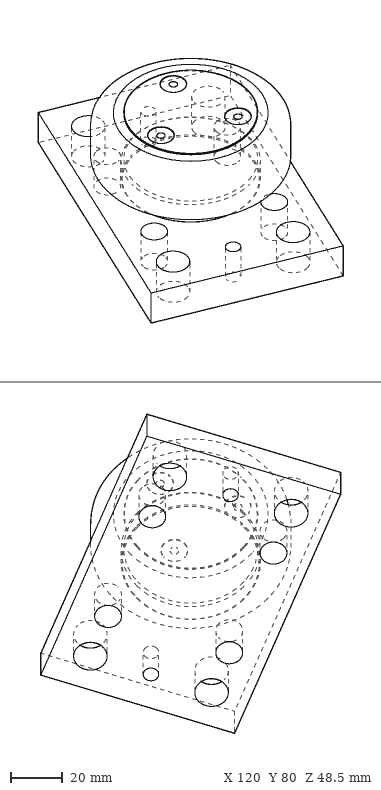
import cadquery as cq
import math

PLATE_LENGTH = 120.0
PLATE_WIDTH = 80.0
PLATE_THICKNESS = 15.0

MOUNT_HOLE_DIAMETER = 13.0
MOUNT_HOLE_X = 45.0
MOUNT_HOLE_Y = 25.0
DOWEL_HOLE_DIAMETER = 6.0
INNER_HOLE_DIAMETER = 10.4
INNER_HOLE_X = 25.0
INNER_HOLE_Y = 25.0

NECK_DIAMETER = 54.0
NECK_TOP_CHAMFER = 1.0
NECK_BOTTOM_CHAMFER = 0.4

ROLLER_DIAMETER = 77.8
ROLLER_CROWN_RADIUS = 500.0
ROLLER_BOTTOM_Z = 25.0
ROLLER_TOP_Z = 48.0
ROLLER_FACE_DIAMETER = 60.0
ROLLER_CONE_ANGLE = 20.0
ROLLER_TOP_FILLET = 4.0
ROLLER_BOTTOM_FILLET = 2.0

COVER_DIAMETER = 52.0
COVER_TOP_Z = 48.5
COVER_CHAMFER = 0.2

SCREW_COUNT = 3
SCREW_CIRCLE_RADIUS = 18.5
SCREW_FIRST_ANGLE = 60.0
COUNTERSINK_DIAMETER = 10.4
SCREW_HEAD_DIAMETER = 10.11
SCREW_SOCKET_DIAMETER = 3.3
SCREW_SOCKET_DEPTH = 0.1


def disc(diameter, bottom_z, top_z):
    """Upright cylinder on the Z axis."""
    return cq.Workplane("XY").workplane(offset=bottom_z).circle(diameter / 2).extrude(top_z - bottom_z)


def make_plate():
    """Rectangular plate with its underside at Z = 0 and all through holes."""
    plate = cq.Workplane("XY").box(
        PLATE_LENGTH, PLATE_WIDTH, PLATE_THICKNESS, centered=(True, True, False)
    )
    hole_groups = [
        (MOUNT_HOLE_DIAMETER, MOUNT_HOLE_X, [-MOUNT_HOLE_Y, MOUNT_HOLE_Y]),
        (INNER_HOLE_DIAMETER, INNER_HOLE_X, [-INNER_HOLE_Y, INNER_HOLE_Y]),
        (DOWEL_HOLE_DIAMETER, MOUNT_HOLE_X, [0]),
    ]
    for diameter, half_spacing, y_places in hole_groups:
        centres = [(x, y) for x in (-half_spacing, half_spacing) for y in y_places]
        holes = cq.Workplane("XY").pushPoints(centres).circle(diameter / 2).extrude(PLATE_THICKNESS)
        plate = plate.cut(holes)
    return plate


def make_roller():
    """Revolved roller: rounded lower rim, crowned side, rounded shoulder and conical top."""
    face_radius = ROLLER_FACE_DIAMETER / 2
    cone_drop = (ROLLER_DIAMETER / 2 - face_radius) * math.tan(math.radians(ROLLER_CONE_ANGLE))
    shoulder_z = ROLLER_TOP_Z - cone_drop
    half_height = (shoulder_z - ROLLER_BOTTOM_Z) / 2
    crown_rise = ROLLER_CROWN_RADIUS - math.sqrt(ROLLER_CROWN_RADIUS**2 - half_height**2)
    crest_radius = ROLLER_DIAMETER / 2
    rim_radius = crest_radius - crown_rise
    profile = (
        cq.Workplane("XZ")
        .moveTo(0, ROLLER_BOTTOM_Z)
        .lineTo(rim_radius, ROLLER_BOTTOM_Z)
        .threePointArc((crest_radius, ROLLER_BOTTOM_Z + half_height), (rim_radius, shoulder_z))
        .lineTo(face_radius, ROLLER_TOP_Z)
        .lineTo(0, ROLLER_TOP_Z)
        .close()
    )
    roller = profile.revolve(360, (0, 0), (0, 1))
    roller = roller.faces("%CONE").edges("<Z").fillet(ROLLER_TOP_FILLET)
    return roller.faces("<Z").edges().fillet(ROLLER_BOTTOM_FILLET)


def cut_screws(body):
    """Cut the visible rim of each 90 degree countersink and the socket in the screw head below it."""
    recess = (COUNTERSINK_DIAMETER - SCREW_HEAD_DIAMETER) / 2
    head_z = COVER_TOP_Z - recess
    countersink = cq.Workplane(
        cq.Solid.makeCone(
            SCREW_HEAD_DIAMETER / 2, COUNTERSINK_DIAMETER / 2, recess, cq.Vector(0, 0, head_z), cq.Vector(0, 0, 1)
        )
    )
    socket = disc(SCREW_SOCKET_DIAMETER, head_z - SCREW_SOCKET_DEPTH, head_z)
    for index in range(SCREW_COUNT):
        angle = math.radians(SCREW_FIRST_ANGLE + index * 360 / SCREW_COUNT)
        centre = (SCREW_CIRCLE_RADIUS * math.cos(angle), SCREW_CIRCLE_RADIUS * math.sin(angle), 0)
        body = body.cut(countersink.translate(centre)).cut(socket.translate(centre))
    return body


neck = disc(NECK_DIAMETER, PLATE_THICKNESS, ROLLER_BOTTOM_Z)
neck = neck.faces(">Z").chamfer(NECK_TOP_CHAMFER).faces("<Z").chamfer(NECK_BOTTOM_CHAMFER)
cover = disc(COVER_DIAMETER, ROLLER_TOP_Z, COVER_TOP_Z).faces(">Z").chamfer(COVER_CHAMFER)
body = make_plate().union(neck).union(make_roller()).union(cover)
result = cut_screws(body)